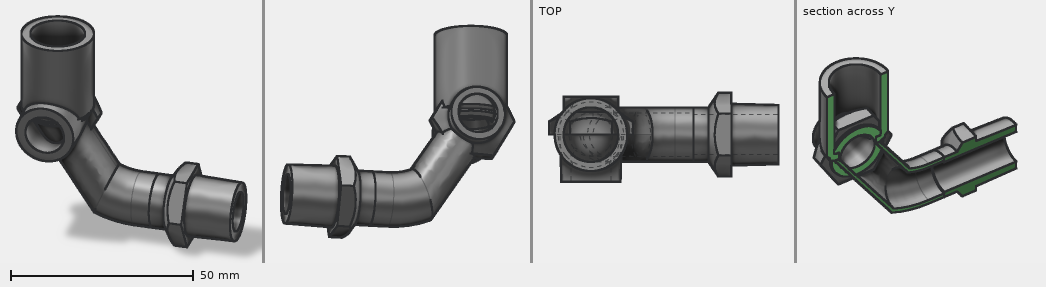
import cadquery as cq
import math


pipe_diameter = 15.0
pipe_bore = 12.0
bend_radius = 23.0
bend_top_z = -0.2
straight_angle = 67.0
tail_length = 5.1

socket_diameter = 20.0
socket_bore = pipe_diameter
socket_top_z = 24.8
socket_bottom_z = 2.45
collar_diameter = 18.0
collar_top_z = 1.5
collar_bottom_z = 0.8

fitting_bore = 11.0
stub_diameter = pipe_diameter
stub_length = 4.15
hex_flats = 20.0
hex_length = 6.25
hex_cone_length = 2.7
thread_length = 13.0
thread_root_diameter = 17.0
thread_tip_diameter = 16.3
branch_axis_z = -0.1

hex_corners = hex_flats / math.cos(math.radians(30))
shank_length = stub_length + hex_length
fitting_length = shank_length + thread_length
run_axis_z = bend_top_z - bend_radius
run_fitting_x = bend_radius + tail_length


def fitting_envelope():
    """Unbored fitting along +Z, starting at the end of its plain stub."""
    body = (
        cq.Workplane("XZ")
        .polyline([
            (0, 0),
            (stub_diameter / 2, 0),
            (stub_diameter / 2, stub_length),
            (hex_corners / 2, stub_length + hex_cone_length),
            (hex_corners / 2, shank_length),
            (0, shank_length),
        ])
        .close()
        .revolve(360, (0, 0, 0), (0, 1, 0))
    )
    hexagon = cq.Workplane("XY").polygon(6, hex_corners).extrude(shank_length)
    thread = (
        cq.Workplane("XY", origin=(0, 0, shank_length))
        .circle(thread_root_diameter / 2)
        .workplane(offset=thread_length)
        .circle(thread_tip_diameter / 2)
        .loft(ruled=True)
    )
    return body.intersect(hexagon).union(thread)


def make_fitting():
    """Fitting with its through bore."""
    bore = cq.Workplane("XY").circle(fitting_bore / 2).extrude(fitting_length)
    return fitting_envelope().cut(bore)


def place_on_branch(shape):
    """Point the thread to -Y, with the hex shoulder in the plane Y = 0."""
    return shape.rotate((0, 0, 0), (1, 0, 0), 90).translate((0, shank_length, branch_axis_z))


def place_on_run(shape):
    """Point the thread to +X, with the stub against the elbow tail and hex corners at +/-Y."""
    turned = shape.rotate((0, 0, 0), (0, 0, 1), 90).rotate((0, 0, 0), (0, 1, 0), 90)
    return turned.translate((run_fitting_x, 0, run_axis_z))


def elbow_rod(diameter):
    """Round rod along the elbow: straight run, rest of the bend, straight tail."""
    angle = math.radians(straight_angle)
    join = cq.Vector(
        bend_radius * (1 - math.cos(angle)), 0, bend_top_z - bend_radius * math.sin(angle)
    )
    tangent = cq.Vector(math.sin(angle), 0, -math.cos(angle))
    top_wire = cq.Wire.makeCircle(diameter / 2, cq.Vector(0, 0, bend_top_z), cq.Vector(0, 0, -1))
    join_wire = cq.Wire.makeCircle(diameter / 2, join, tangent)
    straight = cq.Workplane(cq.Solid.makeLoft([top_wire, join_wire], True))
    bend = (
        cq.Workplane("YZ", origin=(bend_radius, 0, run_axis_z))
        .circle(diameter / 2)
        .revolve(90 - straight_angle, (0, bend_radius, 0), (1, bend_radius, 0))
    )
    tail = (
        cq.Workplane("YZ", origin=(bend_radius, 0, run_axis_z))
        .circle(diameter / 2)
        .extrude(tail_length)
    )
    return straight.union(bend).union(tail)


def make_socket():
    """Bored upright cylinder stepping down through a collar to the pipe diameter."""
    return (
        cq.Workplane("XZ")
        .polyline([
            (socket_bore / 2, socket_top_z),
            (socket_diameter / 2, socket_top_z),
            (socket_diameter / 2, socket_bottom_z),
            (collar_diameter / 2, collar_top_z),
            (collar_diameter / 2, collar_bottom_z),
            (pipe_diameter / 2, bend_top_z),
            (pipe_bore / 2, bend_top_z),
            (pipe_bore / 2, socket_bottom_z),
            (socket_bore / 2, socket_bottom_z),
        ])
        .close()
        .revolve(360, (0, 0, 0), (0, 1, 0))
    )


def shank_clearance():
    """Room that the stub and hex of the branch fitting take up."""
    block = cq.Workplane("XY").circle(hex_corners).extrude(shank_length)
    return place_on_branch(fitting_envelope().intersect(block))


socket = make_socket()
elbow = elbow_rod(pipe_diameter).cut(elbow_rod(pipe_bore)).cut(shank_clearance())
run_fitting = place_on_run(make_fitting())
branch_fitting = place_on_branch(make_fitting()).cut(socket).cut(elbow)

result = cq.Compound.makeCompound([
    *socket.solids().vals(),
    *elbow.solids().vals(),
    *run_fitting.solids().vals(),
    *branch_fitting.solids().vals(),
])